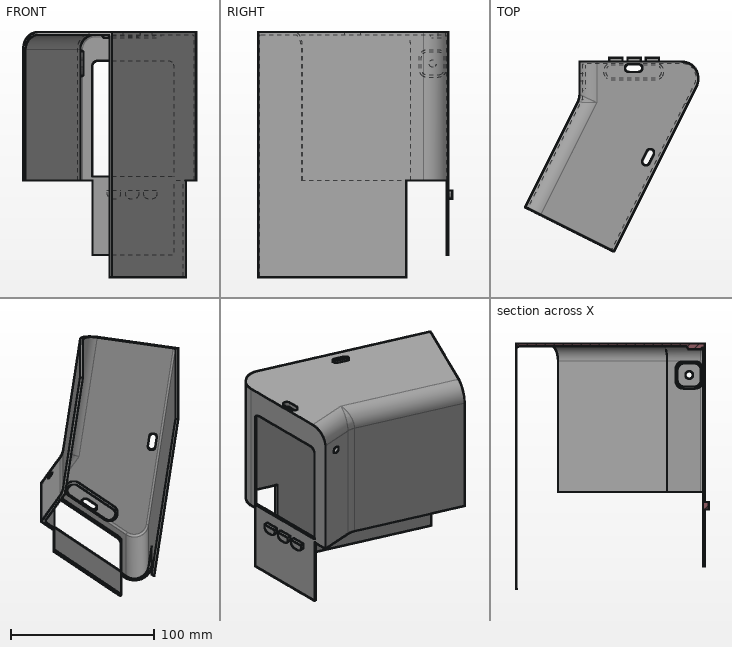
import cadquery as cq
import math

sheet = 2.0
back_sheet = 1.4
bend_radius = 12.0
fold_radius = 12.2
inner_radius = 1.5

skew = math.atan(0.5)
kink_y = -25.9
left_length = 85.0
hood_width = 69.5
hood_depth = 104.0

leaf_bottom = 171.6
leaf_back_y = -29.3

tongue_left = 10.5
tongue_right = 67.5
tongue_bottom = 156.0
window_top = 20.2
window_bottom = 101.0
window_radius = 4.0

peg_width = 9.5
peg_height = 5.8
peg_length = 2.7
peg_radius = 3.5
peg_pitch = 12.7
peg_top = 110.9
peg_row_x = 38.3

slot_length = 12.0
slot_width = 5.1
back_slot = (38.0, -4.6)
side_slot = (48.0, -67.0)
pin_diameter = 5.1
pin_place = (-11.0, -22.1)

pad_height = 2.2
pad_taper = 35
pad_corner = 5.8
pin_pad_size = 19.2
slot_pad_length = 41.9
slot_pad_width = 12.0
slot_pad_y = -7.0

cutter_depth = 3 * (sheet + pad_height)


def nearest(point):
    """Selector for the edge whose middle is nearest to a point."""
    return cq.selectors.NearestToPointSelector(point)


def skewed(along, across):
    """Point measured from the kink, along the skewed walls and across towards the right wall."""
    x = along * math.sin(skew) + across * math.cos(skew)
    y = kink_y + along * math.cos(skew) - across * math.sin(skew)
    return (x, y)


def right_wall_point(y, inset):
    """Point at a given Y on the right wall, inset from its outer face."""
    across = hood_width - inset
    along = (y - kink_y + across * math.sin(skew)) / math.cos(skew)
    return skewed(along, across)


def hood_block(inset, back_inset, front_extension):
    """Solid hood with a bent back right corner, folded over along its top left edges."""
    front = -left_length - front_extension
    kink = (inset, kink_y - inset * math.tan(skew / 2))
    back_right = right_wall_point(-back_inset, inset)
    outline = [
        (inset, -back_inset),
        kink,
        skewed(front, inset),
        skewed(front, hood_width - inset),
        back_right,
    ]
    block = cq.Workplane("XY", origin=(0, 0, -inset)).polyline(outline).close().extrude(-hood_depth)
    middle_z = -inset - hood_depth / 2
    block = block.edges(nearest((*back_right, middle_z))).fillet(bend_radius - inset)
    straight_edge = nearest((inset, kink_y / 2, -inset))
    skewed_edge = nearest((*skewed(-left_length / 2, inset), -inset))
    return block.edges(straight_edge + skewed_edge).fillet(fold_radius - inset)


def hood_shell():
    """Hollow hood, open at the front and below."""
    outside = hood_block(0, 0, 0)
    outside = outside.edges(nearest((0, kink_y, -hood_depth / 2))).fillet(bend_radius)
    cavity = hood_block(sheet, back_sheet, sheet)
    cavity = cavity.edges(nearest((hood_width / 2, -back_sheet, -sheet))).fillet(inner_radius)
    return outside.cut(cavity)


def leaf():
    """Right wall running from the top down below the hood."""
    outline = [
        skewed(-left_length, hood_width),
        skewed(-left_length, hood_width - sheet),
        right_wall_point(leaf_back_y, sheet),
        right_wall_point(leaf_back_y, 0),
    ]
    base = cq.Workplane("XY", origin=(0, 0, -leaf_bottom))
    return base.polyline(outline).close().extrude(leaf_bottom - sheet)


def back_panel(top, bottom, thickness):
    """Upright plate as wide as the tongue, with its back on Y = 0."""
    return (
        cq.Workplane("XY")
        .box(tongue_right - tongue_left, thickness, bottom - top, centered=False)
        .translate((tongue_left, -thickness, -bottom))
    )


def peg(x):
    """Peg standing out behind the tongue, with rounded lower corners."""
    return (
        cq.Workplane("XY")
        .box(peg_width, peg_length, peg_height, centered=(True, False, False))
        .edges("|Y and <Z")
        .fillet(peg_radius)
        .translate((x, 0, -peg_top - peg_height))
    )


def pad(plane, center, length, width):
    """Tapered pad with rounded corners, grown along the normal of the plane."""
    outline = cq.Sketch().rect(length, width).vertices().fillet(pad_corner)
    return cq.Workplane(plane).center(*center).placeSketch(outline).extrude(pad_height, taper=pad_taper)


def slot_cutter(center, angle):
    """Cutter for a slot through the top and any pad below it."""
    return cq.Workplane("XY").center(*center).slot2D(slot_length, slot_width, angle).extrude(-cutter_depth)


window = back_panel(window_top, window_bottom, cutter_depth).edges("|Y and >Z").fillet(window_radius)
tongue = back_panel(window_bottom, tongue_bottom, back_sheet)
result = hood_shell().cut(window).union(leaf()).union(tongue)

for step in (-1, 0, 1):
    result = result.union(peg(peg_row_x + step * peg_pitch))

wall_inside = cq.Plane(origin=(sheet, 0, 0), xDir=(0, 1, 0), normal=(1, 0, 0))
top_inside = cq.Plane(origin=(0, 0, -sheet), xDir=(1, 0, 0), normal=(0, 0, -1))
result = result.union(pad(wall_inside, pin_place, pin_pad_size, pin_pad_size))
result = result.union(pad(top_inside, (back_slot[0], -slot_pad_y), slot_pad_length, slot_pad_width))

result = result.cut(slot_cutter(back_slot, 0))
result = result.cut(slot_cutter(side_slot, 90 - math.degrees(skew)))
pin_cutter = cq.Workplane("YZ").center(*pin_place).circle(pin_diameter / 2).extrude(cutter_depth)
result = result.cut(pin_cutter)